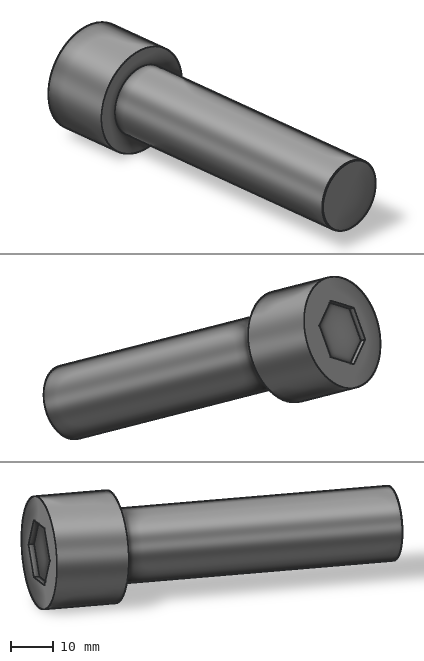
import cadquery as cq
import math

total_length = 88.0
head_diameter = 27.0
shank_diameter = 17.95
head_length = shank_diameter
tip_chamfer = 0.2
socket_across_flats = 14.0
socket_depth = 1.4

socket_across_corners = socket_across_flats / math.cos(math.pi / 6)


def make_screw_blank():
    """Head and shank, with the edge of the tip broken."""
    head = cq.Workplane("YZ").circle(head_diameter / 2).extrude(head_length)
    shank = cq.Workplane("YZ").circle(shank_diameter / 2).extrude(total_length)
    shank = shank.faces(">X").edges().chamfer(tip_chamfer)
    return head.union(shank)


def make_socket():
    """Hexagonal recess with two corners pointing along Y."""
    return cq.Workplane("YZ").polygon(6, socket_across_corners).extrude(socket_depth)


result = make_screw_blank().cut(make_socket()).translate((-total_length / 2, 0, 0))